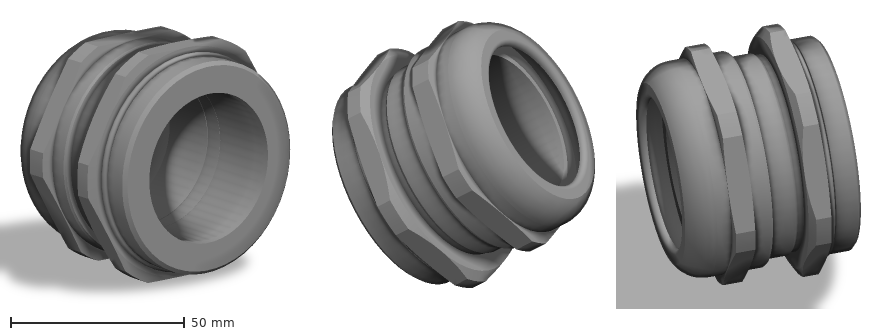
import cadquery as cq
import math


cap_length = 25.0
cap_diameter = 63.5
cap_front_diameter = 53.5
cap_shoulder_end = 8.2
mouth_diameter = 44.4
mouth_rounding = 1.5
lip_thickness = 1.8
cap_bore_diameter = 57.8
cap_back_chamfer_length = 0.7
cap_back_chamfer_depth = 0.45
cap_hex_start = 12.4
cap_hex_end = 19.25
cap_hex_across_flats = 64.0
cap_hex_corner_diameter = 70.0

collar_diameter = 59.3
collar_chamfer_start = 32.2
neck_start = 33.05
neck_diameter = 57.8
body_hex_start = 34.9
body_hex_end = 41.5
body_hex_across_flats = 68.0
body_hex_corner_diameter = 73.45
thread_diameter = 63.0
thread_start = 43.9
thread_lead_in = 0.4
thread_end_chamfer = 1.1
body_end = 51.5
seat_depth = 24.45
narrow_bore_end = 30.0
narrow_bore_diameter = 44.4
wide_bore_diameter = 44.5

ring_groove_diameter = 60.8
ring_thickness = thread_start - thread_lead_in - body_hex_end

seal_start = 7.5
cage_start = cap_shoulder_end
seal_bore_diameter = 44.0
seal_diameter = 47.4
cage_flange_diameter = cap_bore_diameter
cage_flange_thickness = 3.7
cage_flange_end = cage_start + cage_flange_thickness
cage_sleeve_diameter = 52.8

shallow_chamfer_angle = 10.0
steep_chamfer_angle = 30.0


def revolve_about_x(profile):
    """Turn a closed (x, radius) outline about the X axis."""
    return profile.close().revolve(360, (0, 0, 0), (1, 0, 0))


def cylinder(start, end, diameter):
    return cq.Workplane("YZ").workplane(offset=start).circle(diameter / 2).extrude(end - start)


def tube(start, end, outer_diameter, inner_diameter):
    return cylinder(start, end, outer_diameter).cut(cylinder(start, end, inner_diameter))


def hexagon(start, end, across_flats, corner_diameter, front_angle, back_angle):
    """Hexagon with flats square to Z, turned-down corners and a conical chamfer on both faces."""
    face_radius = across_flats / 2
    corner_radius = corner_diameter / 2
    chamfer_depth = corner_radius - face_radius
    front_chamfer = chamfer_depth * math.tan(math.radians(front_angle))
    back_chamfer = chamfer_depth * math.tan(math.radians(back_angle))
    sharp_corner_diameter = across_flats / math.cos(math.radians(30))
    prism = (
        cq.Workplane("YZ").workplane(offset=start)
        .polygon(6, sharp_corner_diameter).extrude(end - start)
    )
    envelope = revolve_about_x(
        cq.Workplane("XY")
        .moveTo(start, 0)
        .lineTo(start, face_radius)
        .lineTo(start + front_chamfer, corner_radius)
        .lineTo(end - back_chamfer, corner_radius)
        .lineTo(end, face_radius)
        .lineTo(end, 0)
    )
    return prism.intersect(envelope)


def arc_middle(center_x, center_radius, arc_radius, first_angle, last_angle):
    """Point halfway along an arc, with the angles in radians from +X."""
    angle = (first_angle + last_angle) / 2
    return (center_x + arc_radius * math.cos(angle), center_radius + arc_radius * math.sin(angle))


def make_cap_nut():
    """Round-nosed nut with a wrench hexagon."""
    outer_radius = cap_diameter / 2
    front_radius = cap_front_diameter / 2
    mouth_radius = mouth_diameter / 2
    bore_radius = cap_bore_diameter / 2

    drop = outer_radius - front_radius
    shoulder_radius = (cap_shoulder_end**2 + drop**2) / (2 * drop)
    arc_center_radius = outer_radius - shoulder_radius
    top_angle = math.pi / 2
    shoulder_front_angle = math.atan2(front_radius - arc_center_radius, -cap_shoulder_end)
    shoulder_middle = arc_middle(
        cap_shoulder_end, arc_center_radius, shoulder_radius, shoulder_front_angle, top_angle
    )

    cavity_rounding = cage_start - lip_thickness
    cavity_middle = arc_middle(
        cage_start, bore_radius - cavity_rounding, cavity_rounding, math.pi, top_angle
    )

    rounding_middle = arc_middle(
        mouth_rounding, mouth_radius + mouth_rounding, mouth_rounding, math.pi, 3 * math.pi / 2
    )
    shell = revolve_about_x(
        cq.Workplane("XY")
        .moveTo(0, mouth_radius + mouth_rounding)
        .lineTo(0, front_radius)
        .threePointArc(shoulder_middle, (cap_shoulder_end, outer_radius))
        .lineTo(cap_length - cap_back_chamfer_length, outer_radius)
        .lineTo(cap_length, outer_radius - cap_back_chamfer_depth)
        .lineTo(cap_length, bore_radius)
        .lineTo(cage_start, bore_radius)
        .threePointArc(cavity_middle, (lip_thickness, bore_radius - cavity_rounding))
        .lineTo(lip_thickness, mouth_radius)
        .lineTo(mouth_rounding, mouth_radius)
        .threePointArc(rounding_middle, (0, mouth_radius + mouth_rounding))
    )
    wrench_hexagon = hexagon(
        cap_hex_start, cap_hex_end, cap_hex_across_flats, cap_hex_corner_diameter,
        shallow_chamfer_angle, shallow_chamfer_angle,
    ).cut(cylinder(cap_hex_start, cap_hex_end, cap_bore_diameter))
    return shell.union(wrench_hexagon)


def make_gland_body():
    """Threaded body whose sleeve fills the cap bore and carries the cage."""
    thread_radius = thread_diameter / 2
    turned_part = revolve_about_x(
        cq.Workplane("XY")
        .moveTo(cage_flange_end, 0)
        .lineTo(cage_flange_end, cap_bore_diameter / 2)
        .lineTo(cap_length, cap_bore_diameter / 2)
        .lineTo(cap_length, collar_diameter / 2)
        .lineTo(collar_chamfer_start, collar_diameter / 2)
        .lineTo(neck_start, neck_diameter / 2)
        .lineTo(body_hex_end, neck_diameter / 2)
        .lineTo(body_hex_end, ring_groove_diameter / 2)
        .lineTo(thread_start - thread_lead_in, ring_groove_diameter / 2)
        .lineTo(thread_start, thread_radius)
        .lineTo(body_end - thread_end_chamfer, thread_radius)
        .lineTo(body_end, thread_radius - thread_end_chamfer)
        .lineTo(body_end, 0)
    )
    wrench_hexagon = hexagon(
        body_hex_start, body_hex_end, body_hex_across_flats, body_hex_corner_diameter,
        steep_chamfer_angle, shallow_chamfer_angle,
    )
    return (
        turned_part.union(wrench_hexagon)
        .cut(cylinder(cage_flange_end, seat_depth, cage_sleeve_diameter))
        .cut(cylinder(seat_depth, narrow_bore_end, narrow_bore_diameter))
        .cut(cylinder(narrow_bore_end, body_end, wide_bore_diameter))
    )


def make_o_ring():
    """Ring filling the groove between the hexagon and the thread."""
    section_radius = ring_thickness / 2
    center_radius = ring_groove_diameter / 2 + section_radius
    section = (
        cq.Workplane("XY").moveTo(body_hex_end + section_radius, center_radius)
        .circle(section_radius)
    )
    return section.revolve(360, (0, 0, 0), (1, 0, 0))


def make_cage():
    """Flanged bush between the body sleeve and the seal."""
    flange = tube(cage_start, cage_flange_end, cage_flange_diameter, seal_diameter)
    sleeve = tube(cage_flange_end, seat_depth, cage_sleeve_diameter, seal_diameter)
    return flange.union(sleeve)


def make_seal():
    """Plain sealing sleeve inside the cage."""
    return tube(seal_start, seat_depth, seal_diameter, seal_bore_diameter)


cap_nut = make_cap_nut()
gland_body = make_gland_body()
o_ring = make_o_ring()
cage = make_cage()
seal = make_seal()

result = cq.Compound.makeCompound(
    [cap_nut.val(), gland_body.val(), o_ring.val(), cage.val(), seal.val()]
)